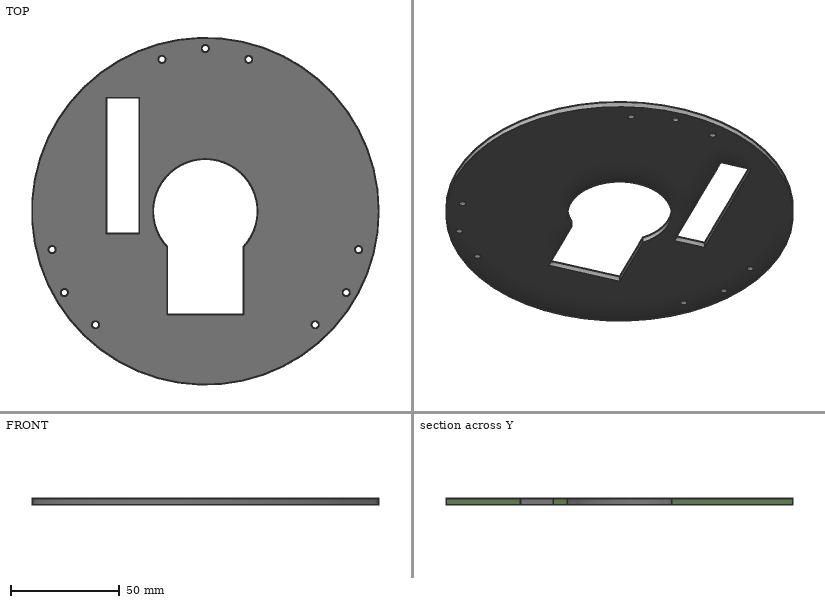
import cadquery as cq

plate_diameter = 160.0
plate_thickness = 3.0

bore_diameter = 48.0
keyway_width = 35.0
keyway_end_y = -47.5

window_width = 15.0
window_length = 62.5
window_center_x = -38.0
window_center_y = 21.0

hole_diameter = 3.2
group_count = 3
middle_hole_radius = 75.0
side_hole_offset = 20.0
side_hole_distance = 70.0


def make_plate():
    return cq.Workplane("XY").circle(plate_diameter / 2).extrude(plate_thickness)


def keyhole_cutter():
    bore = cq.Workplane("XY").circle(bore_diameter / 2).extrude(plate_thickness)
    keyway = (
        cq.Workplane("XY")
        .center(0, keyway_end_y / 2)
        .rect(keyway_width, abs(keyway_end_y))
        .extrude(plate_thickness)
    )
    return bore.union(keyway)


def window_cutter():
    return (
        cq.Workplane("XY")
        .center(window_center_x, window_center_y)
        .rect(window_width, window_length)
        .extrude(plate_thickness)
    )


def hole_group_cutter(angle):
    """Three holes at the +Y rim, turned about the plate axis by angle."""
    points = [
        (-side_hole_offset, side_hole_distance),
        (0, middle_hole_radius),
        (side_hole_offset, side_hole_distance),
    ]
    holes = cq.Workplane("XY").pushPoints(points).circle(hole_diameter / 2).extrude(plate_thickness)
    return holes.rotate((0, 0, 0), (0, 0, 1), angle)


result = make_plate().cut(keyhole_cutter()).cut(window_cutter())
for group in range(group_count):
    result = result.cut(hole_group_cutter(group * 360 / group_count))